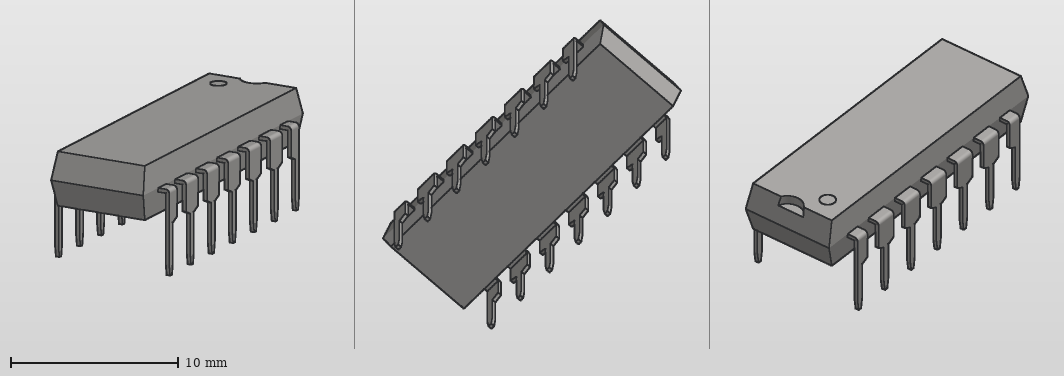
import cadquery as cq


BODY_WIDTH = 6.35
BODY_LENGTH = 19.3
BODY_HALF_HEIGHT = 1.7
SIDE_DRAFT_INSET = 0.18
END_DRAFT_INSET = 0.5

NOTCH_RADIUS = 1.0
NOTCH_DEPTH = 0.6
PIN_MARK_DIAMETER = 1.0
PIN_MARK_DEPTH = 0.02
PIN_MARK_X = -1.52
PIN_MARK_FROM_END = 1.98

LEADS_PER_SIDE = 7
LEAD_PITCH = 2.54
ROW_SPACING = 7.62
LEAD_THICKNESS = 0.25
LEAD_DROP = 5.4
SHOULDER_WIDTH = 1.46
SHANK_WIDTH = 0.45
TIP_WIDTH = 0.24
SHOULDER_Z = -1.92
SHANK_TOP_Z = -2.17
TAPER_TOP_Z = -4.67
LEAD_EMBED = 0.5

LEAD_OUTER_X = (ROW_SPACING + LEAD_THICKNESS) / 2
LEAD_INNER_X = LEAD_OUTER_X - LEAD_THICKNESS
LEAD_ROOT_X = BODY_WIDTH / 2 - LEAD_EMBED
FIRST_LEAD_Y = LEAD_PITCH * (LEADS_PER_SIDE - 1) / 2


def half_body(direction):
    """One drafted half of the body, above (+1) or below (-1) the parting plane."""
    return (
        cq.Workplane("XY")
        .rect(BODY_WIDTH, BODY_LENGTH)
        .workplane(offset=direction * BODY_HALF_HEIGHT)
        .rect(BODY_WIDTH - 2 * SIDE_DRAFT_INSET, BODY_LENGTH - 2 * END_DRAFT_INSET)
        .loft(ruled=True)
    )


def top_pocket(x, y, radius, depth):
    """Round cutter reaching the given depth below the top face."""
    return (
        cq.Workplane("XY", origin=(x, y, BODY_HALF_HEIGHT - depth))
        .circle(radius)
        .extrude(depth)
    )


def make_body():
    body = half_body(1).union(half_body(-1))
    notch = top_pocket(0, BODY_LENGTH / 2, NOTCH_RADIUS, NOTCH_DEPTH)
    pin_mark = top_pocket(
        PIN_MARK_X, BODY_LENGTH / 2 - PIN_MARK_FROM_END, PIN_MARK_DIAMETER / 2, PIN_MARK_DEPTH
    )
    return body.cut(notch).cut(pin_mark)


def bent_strip():
    """Full-width strip of the +X lead row: out of the body, then bent straight down."""
    length = FIRST_LEAD_Y * 2 + SHOULDER_WIDTH
    return (
        cq.Workplane("XZ", origin=(0, length / 2, 0))
        .moveTo(LEAD_ROOT_X, 0)
        .lineTo(LEAD_INNER_X, 0)
        .radiusArc((LEAD_OUTER_X, -LEAD_THICKNESS), LEAD_THICKNESS)
        .lineTo(LEAD_OUTER_X, -LEAD_DROP)
        .lineTo(LEAD_INNER_X, -LEAD_DROP)
        .lineTo(LEAD_INNER_X, -LEAD_THICKNESS)
        .lineTo(LEAD_ROOT_X, -LEAD_THICKNESS)
        .close()
        .extrude(length)
    )


def lead_edge(side, has_shoulder):
    """Points down one edge of a lead, as (offset along Y, Z), on the +Y or -Y side."""
    shank = side * SHANK_WIDTH / 2
    lower = [(shank, TAPER_TOP_Z), (side * TIP_WIDTH / 2, -LEAD_DROP)]
    if not has_shoulder:
        return [(shank, 0)] + lower
    shoulder = side * SHOULDER_WIDTH / 2
    return [(shoulder, 0), (shoulder, SHOULDER_Z), (shank, SHANK_TOP_Z)] + lower


def lead_outline(index):
    """Lead silhouette; the end leads have no shoulder on their outer edge."""
    left = lead_edge(-1, has_shoulder=index > 0)
    right = lead_edge(1, has_shoulder=index < LEADS_PER_SIDE - 1)
    y = index * LEAD_PITCH - FIRST_LEAD_Y
    return (
        cq.Workplane("YZ", origin=(0, y, 0))
        .polyline(left + right[::-1])
        .close()
        .extrude(LEAD_OUTER_X)
    )


def make_lead_row():
    """All leads on the +X side."""
    strip = bent_strip()
    row = strip.intersect(lead_outline(0))
    for index in range(1, LEADS_PER_SIDE):
        row = row.union(strip.intersect(lead_outline(index)))
    return row


lead_row = make_lead_row()
result = make_body().union(lead_row).union(lead_row.mirror("YZ"))